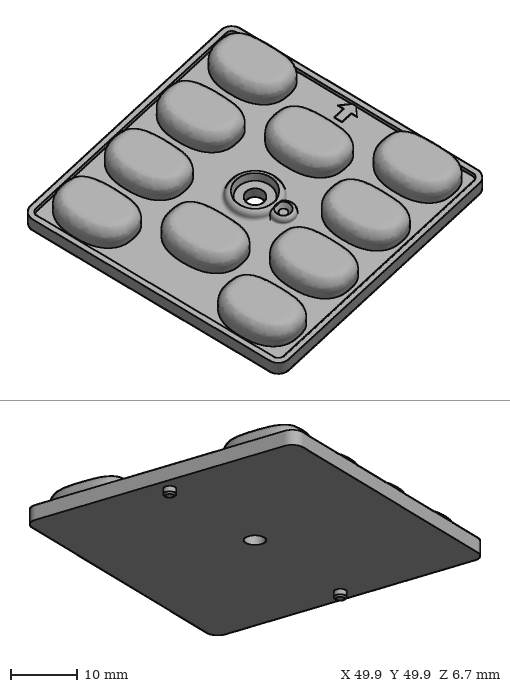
import cadquery as cq
import math

plate_size = 49.85
plate_height = 2.5
plate_corner_radius = 2.0
rim_width = 1.0
tray_depth = 0.5
tray_wall_run = 0.15
floor_z = plate_height - tray_depth
tray_size = plate_size - 2 * rim_width
tray_corner_radius = plate_corner_radius - rim_width

pad_top_z = 5.5
pad_top_fillet = 2.0
pad_half_length = 7.0
pad_back_y = 5.0
pad_front_y = -5.0
pad_side_y = 0.3
pad_back_exponent = 2.8
pad_front_exponent = 2.3
pad_outline_points = 32
pad_offset_y = 0.2
column_pitch = 15.95
row_pitch = 12.45
outer_column_rows = 4

ring_crest_z = 3.3
ring_foot_radius = 5.3
ring_foot_fillet = 0.65
ring_shoulder_fillet = 1.05
ring_bore_radius = 3.25
center_hole_radius = 1.7

cup_x = 5.5
cup_crest_z = 3.1
cup_foot_radius = 2.4
cup_foot_fillet = 0.25
cup_shoulder_fillet = 0.75
cup_bore_radius = 0.75
cup_floor_z = 2.3

arrow_tip_y = 24.25
arrow_head_y = 22.25
arrow_tail_y = 20.0
arrow_head_width = 3.7
arrow_shaft_width = 1.5
arrow_height = 0.1

pin_radius = 1.0
pin_length = 1.2
pin_chamfer = 0.3
pin_y = 22.4


def make_plate():
    plate = (
        cq.Workplane("XY")
        .rect(plate_size, plate_size)
        .extrude(plate_height)
        .edges("|Z")
        .fillet(plate_corner_radius)
    )
    tray_profile = cq.Sketch().rect(tray_size, tray_size).vertices().fillet(tray_corner_radius)
    tray_taper = math.degrees(math.atan2(tray_wall_run, tray_depth))
    tray = (
        cq.Workplane("XY", origin=(0, 0, plate_height))
        .placeSketch(tray_profile)
        .extrude(-tray_depth, taper=tray_taper)
    )
    return plate.cut(tray)


def pad_outline_point(angle):
    """Point on the pad outline: superellipse halves, blunter at the back than at the front."""
    is_back = math.sin(angle) >= 0
    exponent = pad_back_exponent if is_back else pad_front_exponent
    half_width = (pad_back_y if is_back else pad_front_y) - pad_side_y
    along = math.copysign(abs(math.cos(angle)) ** (2 / exponent), math.cos(angle))
    across = abs(math.sin(angle)) ** (2 / exponent)
    return (pad_half_length * along, pad_side_y + half_width * across)


def make_pad():
    """Cushion with a smooth egg-like outline, a flat top and a wide rounded top edge."""
    angles = [2 * math.pi * i / pad_outline_points for i in range(pad_outline_points)]
    return (
        cq.Workplane("XY", origin=(0, pad_offset_y, floor_z))
        .spline([pad_outline_point(angle) for angle in angles], periodic=True)
        .close()
        .extrude(pad_top_z - floor_z)
        .faces(">Z")
        .edges()
        .fillet(pad_top_fillet)
    )


def pad_positions():
    first_row_y = -(outer_column_rows - 1) * row_pitch / 2
    row_ys = [first_row_y + row * row_pitch for row in range(outer_column_rows)]
    outer = [(x, y) for x in (-column_pitch, column_pitch) for y in row_ys]
    middle = [(0, -row_pitch), (0, row_pitch)]
    return outer + middle


def blend_angle(foot_fillet, shoulder_fillet, crest_z):
    """Steepest angle of a ring's outer side, where its foot and shoulder arcs meet."""
    return math.acos(max(0, 1 - (crest_z - floor_z) / (foot_fillet + shoulder_fillet)))


def crest_radius(foot_radius, foot_fillet, shoulder_fillet, crest_z):
    angle = blend_angle(foot_fillet, shoulder_fillet, crest_z)
    return foot_radius - (foot_fillet + shoulder_fillet) * math.sin(angle)


def make_mound(foot_radius, foot_fillet, shoulder_fillet, crest_z):
    """Round flat-topped mound: a concave foot arc running tangentially into a convex shoulder arc.

    A mound taller than both arcs gets a vertical wall between them.
    """
    top_radius = crest_radius(foot_radius, foot_fillet, shoulder_fillet, crest_z)
    wall_angle = blend_angle(foot_fillet, shoulder_fillet, crest_z)

    def foot_point(angle):
        return (
            foot_radius - foot_fillet * math.sin(angle),
            floor_z + foot_fillet * (1 - math.cos(angle)),
        )

    def shoulder_point(angle):
        return (
            top_radius + shoulder_fillet * math.sin(angle),
            crest_z - shoulder_fillet * (1 - math.cos(angle)),
        )

    profile = (
        cq.Workplane("XZ")
        .lineTo(foot_radius, 0)
        .lineTo(foot_radius, floor_z)
        .threePointArc(foot_point(wall_angle / 2), foot_point(wall_angle))
    )
    if crest_z - floor_z > foot_fillet + shoulder_fillet:
        profile = profile.lineTo(*shoulder_point(wall_angle))
    profile = (
        profile.threePointArc(shoulder_point(wall_angle / 2), (top_radius, crest_z))
        .lineTo(0, crest_z)
        .close()
    )
    return profile.revolve(360, (0, 0, 0), (0, 1, 0))


def make_bore(bottom_radius, top_radius, bottom_z, top_z):
    profile = cq.Workplane("XZ").polyline(
        [(0, bottom_z), (bottom_radius, bottom_z), (top_radius, top_z), (0, top_z)]
    )
    return profile.close().revolve(360, (0, 0, 0), (0, 1, 0))


def make_arrow():
    half_head = arrow_head_width / 2
    half_shaft = arrow_shaft_width / 2
    return (
        cq.Workplane("XY", origin=(0, 0, floor_z))
        .polyline([
            (0, arrow_tip_y),
            (half_head, arrow_head_y),
            (half_shaft, arrow_head_y),
            (half_shaft, arrow_tail_y),
            (-half_shaft, arrow_tail_y),
            (-half_shaft, arrow_head_y),
            (-half_head, arrow_head_y),
        ])
        .close()
        .extrude(arrow_height)
    )


def make_pin():
    return cq.Workplane("XY").circle(pin_radius).extrude(-pin_length).faces("<Z").chamfer(pin_chamfer)


result = make_plate()
pad = make_pad()
for x, y in pad_positions():
    result = result.union(pad.translate((x, y, 0)))

cup_shape = (cup_foot_radius, cup_foot_fillet, cup_shoulder_fillet, cup_crest_z)
ring_shape = (ring_foot_radius, ring_foot_fillet, ring_shoulder_fillet, ring_crest_z)
cup_mound = make_mound(*cup_shape).translate((cup_x, 0, 0))
cup_bore = make_bore(cup_bore_radius, crest_radius(*cup_shape), cup_floor_z, cup_crest_z)
ring_bore = make_bore(ring_bore_radius, crest_radius(*ring_shape), floor_z, ring_crest_z)
result = result.union(cup_mound).union(make_mound(*ring_shape))
result = result.cut(cup_bore.translate((cup_x, 0, 0))).cut(ring_bore)
center_hole = cq.Workplane("XY").circle(center_hole_radius).extrude(plate_height)
result = result.cut(center_hole)

result = result.union(make_arrow())
for y in (-pin_y, pin_y):
    result = result.union(make_pin().translate((0, y, 0)))